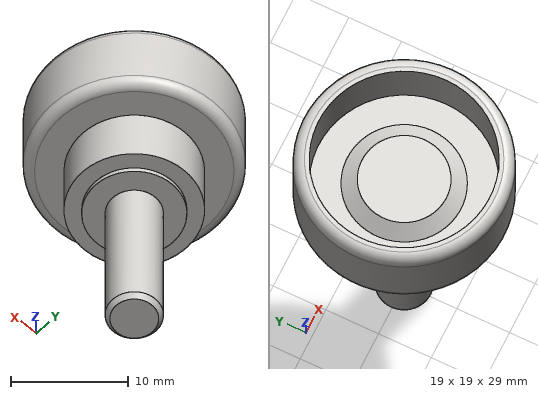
import cadquery as cq

cap_diameter = 19.0
cap_height = 8.0
cap_edge_radius = 1.0
collar_diameter = 12.0
collar_height = 5.5

recess_diameter = 16.2
recess_depth = 5.5
boss_base_diameter = 10.8
boss_top_diameter = 8.0
boss_height = 1.0

overall_height = 29.0
flange_diameter = 9.0
flange_height = 0.5
shank_diameter = 5.0
tip_chamfer_height = 0.5
tip_chamfer_width = 0.4

cap_bottom = overall_height - cap_height
collar_bottom = cap_bottom - collar_height
shank_length = collar_bottom - flange_height
recess_floor = overall_height - recess_depth


def cylinder(diameter, height, bottom):
    return cq.Workplane("XY").workplane(offset=bottom).circle(diameter / 2).extrude(height)


def tapered_boss():
    return (
        cq.Workplane("XY")
        .workplane(offset=recess_floor)
        .circle(boss_base_diameter / 2)
        .workplane(offset=boss_height)
        .circle(boss_top_diameter / 2)
        .loft(ruled=True)
    )


def make_knob():
    cap = cylinder(cap_diameter, cap_height, cap_bottom).edges("%CIRCLE").fillet(cap_edge_radius)
    recess = cylinder(recess_diameter, recess_depth, recess_floor)
    collar = cylinder(collar_diameter, collar_height, collar_bottom)
    return cap.cut(recess).union(tapered_boss()).union(collar)


def make_stud():
    shank = cylinder(shank_diameter, shank_length, 0).faces("<Z").edges().chamfer(tip_chamfer_height, tip_chamfer_width)
    flange = cylinder(flange_diameter, flange_height, shank_length)
    return shank.union(flange)


knob = make_knob()
stud = make_stud()

result = cq.Compound.makeCompound([knob.val(), stud.val()])